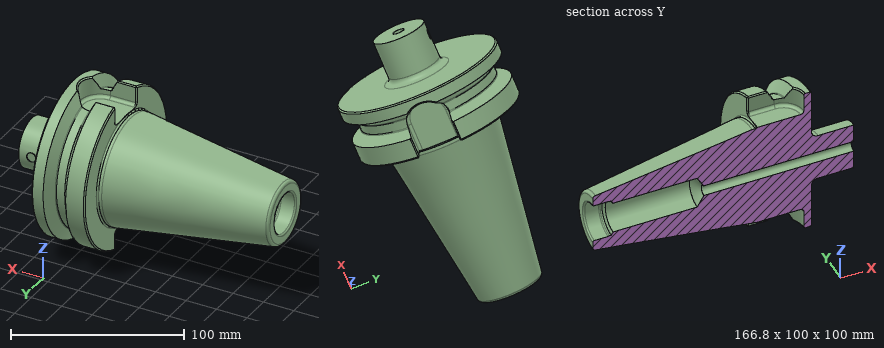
import cadquery as cq
import math

total_length = 166.8
gauge_line = 101.7
flange_gap = 3.0
flange_thickness = 35.0
flange_back = gauge_line + flange_gap
flange_front = flange_back + flange_thickness

taper_ratio = 7 / 24
taper_large_dia = 69.9
taper_small_dia = taper_large_dia - gauge_line * taper_ratio
small_end_radius = 2.0
neck_root_radius = 1.0

flange_dia = 100.0
flange_chamfer = 0.8
groove_center = 124.6
groove_mouth_width = 14.8
groove_dia = 85.0
groove_wall_angle = 30.0
groove_floor_radius = 0.7

nose_dia = 32.0
nose_root_radius = 4.0

slot_width = 25.5
slot_floor_height = 35.4
slot_center_x = 122.0
slot_floor_radius = 2.0
slot_edge_chamfer = 0.8

bore_dia = 25.5
bore_depth = 9.8
bore_mouth_radius = 1.0
land_dia = 25.0
land_start = 10.7
countersink_start = 11.8
countersink_angle = 120.0
thread_dia = 21.0
thread_end = 66.7
drill_point_angle = 118.0
coolant_dia = 6.8

screw_dia = 6.0
screw_x = 158.5
screw_length = 6.7
screw_outer_y = 15.5

AXIS_START = (0, 0, 0)
AXIS_END = (1, 0, 0)
TOLERANCE = 0.002


def revolve_about_axis(profile):
    return profile.close().revolve(360, AXIS_START, AXIS_END)


def circle_edges_at(body, x, radius):
    """Full or broken circles around the X axis at the given station and radius."""

    def matches(edge):
        if edge.geomType() != "CIRCLE" or abs(edge.radius() - radius) > TOLERANCE:
            return False
        return abs(edge.arcCenter().x - x) < TOLERANCE

    return body.newObject([edge for edge in body.edges().vals() if matches(edge)])


def make_blank():
    """Turned outside of the holder: taper, neck, grooved flange and nose."""
    flange_radius = flange_dia / 2
    groove_radius = groove_dia / 2
    nose_radius = nose_dia / 2
    neck_radius = taper_large_dia / 2
    wall_run = (flange_radius - groove_radius) * math.tan(math.radians(groove_wall_angle))
    mouth_start = groove_center - groove_mouth_width / 2
    mouth_end = groove_center + groove_mouth_width / 2
    floor_start = mouth_start + wall_run
    floor_end = mouth_end - wall_run
    blank = revolve_about_axis(
        cq.Workplane("XY")
        .lineTo(0, taper_small_dia / 2)
        .lineTo(gauge_line, neck_radius)
        .lineTo(flange_back, neck_radius)
        .lineTo(flange_back, flange_radius)
        .lineTo(mouth_start, flange_radius)
        .lineTo(floor_start, groove_radius)
        .lineTo(floor_end, groove_radius)
        .lineTo(mouth_end, flange_radius)
        .lineTo(flange_front, flange_radius)
        .lineTo(flange_front, nose_radius)
        .lineTo(total_length, nose_radius)
        .lineTo(total_length, 0)
    )
    blank = circle_edges_at(blank, 0, taper_small_dia / 2).fillet(small_end_radius)
    blank = circle_edges_at(blank, flange_back, neck_radius).fillet(neck_root_radius)
    blank = circle_edges_at(blank, flange_front, nose_radius).fillet(nose_root_radius)
    for x in (floor_start, floor_end):
        blank = circle_edges_at(blank, x, groove_radius).fillet(groove_floor_radius)
    for x in (flange_back, flange_front):
        blank = circle_edges_at(blank, x, flange_radius).chamfer(flange_chamfer)
    return blank


def cone_length(large_dia, small_dia, included_angle):
    return (large_dia - small_dia) / 2 / math.tan(math.radians(included_angle / 2))


def make_bore():
    """Cutter: rounded mouth, pilot bore, land, countersunk thread core, drill point, coolant hole."""
    bore_radius = bore_dia / 2
    countersink_length = cone_length(land_dia, thread_dia, countersink_angle)
    point_length = cone_length(thread_dia, coolant_dia, drill_point_angle)
    return revolve_about_axis(
        cq.Workplane("XY")
        .lineTo(0, bore_radius + bore_mouth_radius)
        .radiusArc((bore_mouth_radius, bore_radius), -bore_mouth_radius)
        .lineTo(bore_depth, bore_radius)
        .lineTo(land_start, land_dia / 2)
        .lineTo(countersink_start, land_dia / 2)
        .lineTo(countersink_start + countersink_length, thread_dia / 2)
        .lineTo(thread_end, thread_dia / 2)
        .lineTo(thread_end + point_length, coolant_dia / 2)
        .lineTo(total_length, coolant_dia / 2)
        .lineTo(total_length, 0)
    )


def draw_slot_section(plane, margin):
    """Slot cross-section with rounded lower corners, its walls moved outwards by the margin."""
    half_width = slot_width / 2 + margin
    corner_radius = slot_floor_radius + margin
    corner_y = half_width - corner_radius
    corner_top = slot_floor_height + corner_radius
    top = flange_dia
    return (
        plane
        .moveTo(-half_width, top)
        .lineTo(-half_width, corner_top)
        .radiusArc((-corner_y, slot_floor_height), -corner_radius)
        .lineTo(corner_y, slot_floor_height)
        .radiusArc((half_width, corner_top), -corner_radius)
        .lineTo(half_width, top)
        .close()
    )


def make_slot():
    """Cutter for the +Z drive slot: flared at the flange back face, round at its far end."""
    half_width = slot_width / 2
    channel = (
        cq.Workplane("XY", origin=(0, 0, slot_floor_height))
        .moveTo(flange_back, -half_width)
        .lineTo(slot_center_x, -half_width)
        .radiusArc((slot_center_x, half_width), -half_width)
        .lineTo(flange_back, half_width)
        .close()
        .extrude(flange_dia - slot_floor_height)
        .faces("<Z").edges("not <X").fillet(slot_floor_radius)
    )
    mouth = draw_slot_section(cq.Workplane("YZ", origin=(flange_back, 0, 0)), slot_edge_chamfer)
    flare = draw_slot_section(mouth.workplane(offset=slot_edge_chamfer), 0).loft(ruled=True)
    return channel.union(flare)


def slot_rim_edges(body):
    """Edges where the slot walls meet the flange outer diameter."""

    def matches(edge):
        points = [edge.positionAt(t) for t in (0, 0.5, 1)]
        on_outside = all(abs(math.hypot(p.y, p.z) - flange_dia / 2) < TOLERANCE for p in points)
        in_slot = all(abs(p.y) < slot_width / 2 + TOLERANCE for p in points)
        return on_outside and in_slot and edge.geomType() != "CIRCLE"

    return body.newObject([edge for edge in body.edges().vals() if matches(edge)])


def make_screw_cylinder(outer_y):
    """Cylinder of the screw diameter from the given height down to the screw's inner end."""
    inner_y = screw_outer_y - screw_length
    return (
        cq.Workplane("XZ", origin=(screw_x, outer_y, 0))
        .circle(screw_dia / 2)
        .extrude(outer_y - inner_y)
    )


def make_holder():
    holder = make_blank()
    for angle in (0, 180):
        holder = holder.cut(make_slot().rotate(AXIS_START, AXIS_END, angle))
    holder = slot_rim_edges(holder).chamfer(slot_edge_chamfer)
    holder = holder.cut(make_bore())
    screw_hole = make_screw_cylinder(nose_dia)
    return holder.cut(screw_hole).solids()


def make_clamping_screw():
    return make_screw_cylinder(screw_outer_y)


holder = make_holder()
clamping_screw = make_clamping_screw()

result = cq.Compound.makeCompound([holder.val(), clamping_screw.val()])